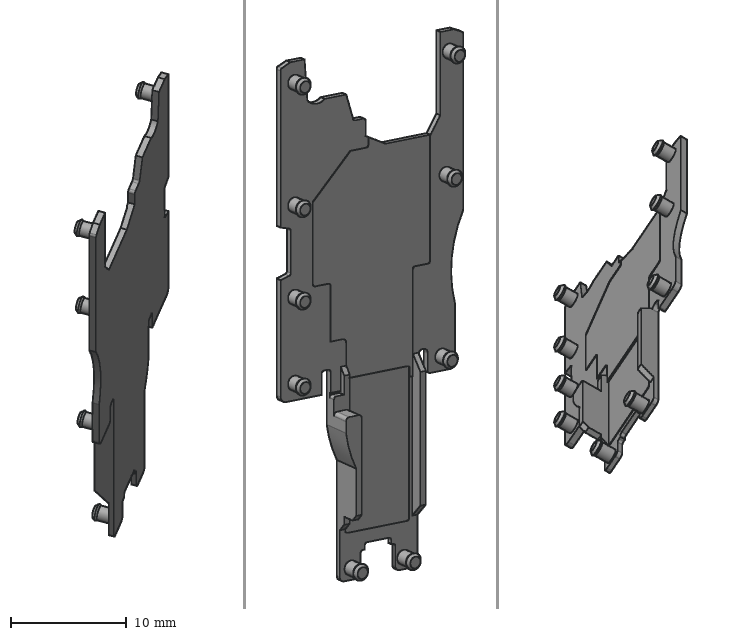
import cadquery as cq


WIDTH = 19.0
HEIGHT = 48.15
HORN_SHOULDER = 47.7
PLATE_DEPTH = 0.65
PANEL_DEPTH = 0.6
STEM_DEPTH = 0.5
PAD_DEPTH = 0.45
RIB_DEPTH = 1.8
SHELF_DEPTH = 1.15
BLOCK_DEPTH = 3.05
PEG_DEPTH = 2.3

STEM_LOW = 4.65
STEM_HIGH = 12.75
SHELF_HIGH = 13.8
RIB_WIDTH = 0.6
CHANNEL_LOW = STEM_LOW + RIB_WIDTH
CHANNEL_HIGH = STEM_HIGH - RIB_WIDTH
TAB_LOW = 0.85
PLATE_BOTTOM = 17.4
FLARE_TOP = 14.4
FLARE_BOTTOM = 11.0
FLARE_MIDDLE = (13.45, 12.65)
RIB_BOTTOM = 4.7
SHELF_TOP = 17.2

SLOT_LOW = 3.7
SLOT_LOW_TOP = 19.7
SLOT_HIGH = 14.75
SLOT_HIGH_TOP = 19.55

OPENING_LOW = 2.4
OPENING_FLOOR = 39.0
STEP_HIGH = 10.15
STEP_TOP = 41.7
STEP_INNER = 11.4
LEDGE_TOP = 44.2

NOTCH_FLOOR = 17.95
NOTCH_SLANT = 0.3
NOTCH_TOP = 33.3
NOTCH_BOTTOM = 28.55

FEET_LOW = 7.0
FEET_HIGH = 10.6
FEET_NOTCH_TOP = 3.15
FEET_SHOULDER = 2.5
FEET_STEP = 0.45

TAB_RADIUS = 0.6
FOOT_RADIUS = 0.45
PANEL_RADIUS = 0.4
BLOCK_RADIUS = 0.35
SMALL_RADIUS = 0.25

PEG_RADIUS = 0.67
PEG_HEAD_RADIUS = 0.75
PEG_TIP_RADIUS = 0.55
PEG_TAPER = 0.3
PEG_HEAD_LENGTH = 0.5
PEG_HIGH_Y = 17.57
FOOT_PEG_Z = 1.1
PEGS = [
    (PEG_HIGH_Y, 46.25),
    (PEG_HIGH_Y, 35.15),
    (PEG_HIGH_Y, 26.75),
    (PEG_HIGH_Y, 18.95),
    (1.5, 46.25),
    (1.85, 35.15),
    (2.25, 18.75),
    (6.1, FOOT_PEG_Z),
    (11.6, FOOT_PEG_Z),
]


def at_depth(depth):
    """Y-Z sketch plane lying the given depth in front of the back face."""
    return cq.Workplane("YZ", origin=(-depth, 0, 0))


def side_profile(points, low, high):
    """Extrude a (depth, Z) profile from Y = low to Y = high."""
    profile = [(-depth, z) for depth, z in points]
    return cq.Workplane("XZ", origin=(0, high, 0)).polyline(profile).close().extrude(high - low)


def round_corners(body, depth, radius, corners):
    """Round the X-direction edges that stand on the given (Y, Z) corners."""
    edges = []
    for y, z in corners:
        middle = cq.selectors.NearestToPointSelector((-depth / 2, y, z))
        edges += body.edges("|X").edges(middle).vals()
    return body.newObject(edges).fillet(radius)


def make_plate():
    """Flat plate with its whole outline."""
    plate = (
        at_depth(PLATE_DEPTH)
        .moveTo(OPENING_LOW, HEIGHT)
        .lineTo(1.0, HEIGHT)
        .lineTo(0, HORN_SHOULDER)
        .lineTo(0, 31.6)
        .threePointArc((1.2, 27.45), (TAB_LOW, 23.25))
        .lineTo(TAB_LOW, PLATE_BOTTOM)
        .lineTo(SLOT_LOW, PLATE_BOTTOM)
        .lineTo(SLOT_LOW, SLOT_LOW_TOP)
        .lineTo(STEM_LOW, SLOT_LOW_TOP)
        .lineTo(STEM_LOW, 0)
        .lineTo(FEET_LOW, 0)
        .lineTo(FEET_LOW, FEET_SHOULDER)
        .lineTo(FEET_LOW + FEET_STEP, FEET_SHOULDER)
        .lineTo(FEET_LOW + FEET_STEP, FEET_NOTCH_TOP)
        .lineTo(FEET_HIGH - FEET_STEP, FEET_NOTCH_TOP)
        .lineTo(FEET_HIGH - FEET_STEP, FEET_SHOULDER)
        .lineTo(FEET_HIGH, FEET_SHOULDER)
        .lineTo(FEET_HIGH, 0)
        .lineTo(STEM_HIGH, 0)
        .lineTo(STEM_HIGH, FLARE_BOTTOM)
        .threePointArc(FLARE_MIDDLE, (SHELF_HIGH, FLARE_TOP))
        .lineTo(SHELF_HIGH, SLOT_HIGH_TOP)
        .lineTo(SLOT_HIGH, SLOT_HIGH_TOP)
        .lineTo(SLOT_HIGH, PLATE_BOTTOM)
        .lineTo(WIDTH, PLATE_BOTTOM)
        .lineTo(WIDTH, NOTCH_BOTTOM)
        .lineTo(NOTCH_FLOOR, NOTCH_BOTTOM + NOTCH_SLANT)
        .lineTo(NOTCH_FLOOR, NOTCH_TOP - NOTCH_SLANT)
        .lineTo(WIDTH, NOTCH_TOP)
        .lineTo(WIDTH, HORN_SHOULDER)
        .lineTo(18.0, HEIGHT)
        .lineTo(16.5, HEIGHT)
        .lineTo(16.25, 44.4)
        .threePointArc((15.35, 43.9), (14.45, LEDGE_TOP))
        .lineTo(12.2, LEDGE_TOP)
        .lineTo(STEP_INNER, STEP_TOP)
        .lineTo(STEP_HIGH, STEP_TOP)
        .lineTo(STEP_HIGH, 40.05)
        .lineTo(8.1, OPENING_FLOOR)
        .lineTo(3.4, OPENING_FLOOR)
        .lineTo(OPENING_LOW, 40.6)
        .close()
        .extrude(PLATE_DEPTH)
    )
    foot_corners = [(y, 0) for y in (STEM_LOW, FEET_LOW, FEET_HIGH, STEM_HIGH)]
    low_slot_corners = [(SLOT_LOW, SLOT_LOW_TOP), (STEM_LOW, SLOT_LOW_TOP)]
    small_corners = [
        (SLOT_LOW, PLATE_BOTTOM),
        (SHELF_HIGH, SLOT_HIGH_TOP),
        (SLOT_HIGH, SLOT_HIGH_TOP),
        (NOTCH_FLOOR, NOTCH_BOTTOM + NOTCH_SLANT),
        (NOTCH_FLOOR, NOTCH_TOP - NOTCH_SLANT),
        (WIDTH, HORN_SHOULDER),
        (0, HORN_SHOULDER),
        (STEP_INNER, STEP_TOP),
        (STEP_HIGH, STEP_TOP),
        (FEET_LOW, FEET_SHOULDER),
        (FEET_HIGH, FEET_SHOULDER),
        (FEET_LOW + FEET_STEP, FEET_NOTCH_TOP),
        (FEET_HIGH - FEET_STEP, FEET_NOTCH_TOP),
    ]
    plate = round_corners(plate, PLATE_DEPTH, TAB_RADIUS, [(WIDTH, PLATE_BOTTOM), (TAB_LOW, PLATE_BOTTOM)])
    plate = round_corners(plate, PLATE_DEPTH, FOOT_RADIUS, foot_corners + low_slot_corners)
    return round_corners(plate, PLATE_DEPTH, SMALL_RADIUS, small_corners)


def cut_panel(plate):
    """Sink the shallow stepped panel that runs from the opening to the stem."""
    panel_low, panel_high = 3.45, 15.65
    middle_bottom = 22.05
    panel_step = 27.35
    diagonal_bottom, diagonal_end = 35.05, 11.75
    lip = 9.85
    cutter_top = 39.95
    panel = (
        at_depth(PLATE_DEPTH)
        .polyline([
            (panel_low, cutter_top),
            (panel_low, panel_step),
            (CHANNEL_LOW, panel_step),
            (CHANNEL_LOW, PLATE_BOTTOM),
            (CHANNEL_HIGH, PLATE_BOTTOM),
            (CHANNEL_HIGH, middle_bottom),
            (SHELF_HIGH, middle_bottom),
            (SHELF_HIGH, panel_step),
            (panel_high, panel_step),
            (panel_high, diagonal_bottom),
            (diagonal_end, OPENING_FLOOR),
            (lip, OPENING_FLOOR),
            (lip, cutter_top),
        ])
        .close()
        .extrude(PLATE_DEPTH - PANEL_DEPTH)
    )
    depth = PLATE_DEPTH + PANEL_DEPTH
    panel = round_corners(panel, depth, SMALL_RADIUS, [
        (panel_low, panel_step),
        (CHANNEL_LOW, panel_step),
        (SHELF_HIGH, panel_step),
        (panel_high, panel_step),
        (lip, OPENING_FLOOR),
    ])
    panel = round_corners(panel, depth, PANEL_RADIUS, [(CHANNEL_HIGH, middle_bottom)])
    return plate.cut(panel)


def thin_stem(plate):
    """Thin the stem below the wide plate and sink the pad recess into it."""
    stem = (
        at_depth(PLATE_DEPTH)
        .moveTo(STEM_LOW, 0)
        .rect(SHELF_HIGH - STEM_LOW, PLATE_BOTTOM, centered=False)
        .extrude(PLATE_DEPTH - STEM_DEPTH)
    )
    pad_low, pad_bottom, pad_top = 5.55, 4.35, 18.4
    pad = (
        at_depth(PLATE_DEPTH)
        .moveTo(pad_low, pad_bottom)
        .rect(CHANNEL_HIGH - pad_low, pad_top - pad_bottom, centered=False)
        .extrude(PLATE_DEPTH - PAD_DEPTH)
        .edges("|X")
        .fillet(SMALL_RADIUS)
    )
    return plate.cut(stem).cut(pad)


def make_low_rib():
    """Tall rib on the -Y side of the stem, sloping down at both ends."""
    top, shoulder_top, shoulder_bottom = 19.45, 18.1, 5.95
    return side_profile(
        [(0, top), (PLATE_DEPTH, top), (RIB_DEPTH, shoulder_top), (RIB_DEPTH, shoulder_bottom),
         (STEM_DEPTH, RIB_BOTTOM), (0, RIB_BOTTOM)],
        STEM_LOW, CHANNEL_LOW,
    )


def flared_outline(depth, bottom, top):
    """Extruded outline of the +Y side of the stem, following its flare."""
    return (
        at_depth(depth)
        .moveTo(CHANNEL_HIGH, bottom)
        .lineTo(STEM_HIGH, bottom)
        .lineTo(STEM_HIGH, FLARE_BOTTOM)
        .threePointArc(FLARE_MIDDLE, (SHELF_HIGH, FLARE_TOP))
        .lineTo(SHELF_HIGH, top)
        .lineTo(CHANNEL_HIGH, top)
        .close()
        .extrude(depth)
    )


def make_high_rib():
    """Low rib on the +Y side of the stem with its shelf and the block standing on it."""
    top = 19.6
    slope = SHELF_DEPTH - STEM_DEPTH
    rib = side_profile(
        [(0, top), (PLATE_DEPTH, top), (SHELF_DEPTH, top - slope), (SHELF_DEPTH, RIB_BOTTOM + slope),
         (STEM_DEPTH, RIB_BOTTOM), (0, RIB_BOTTOM)],
        CHANNEL_HIGH, STEM_HIGH,
    )
    block_bottom, block_top = 6.1, 15.8
    block_chamfer = 0.6
    shelf = flared_outline(SHELF_DEPTH, block_bottom, SHELF_TOP)
    shelf = round_corners(shelf, SHELF_DEPTH, SMALL_RADIUS, [(SHELF_HIGH, SHELF_TOP)])
    block = flared_outline(BLOCK_DEPTH, block_bottom, block_top)
    block_corners = [(CHANNEL_HIGH, block_top), (SHELF_HIGH, block_top)]
    block = round_corners(block, BLOCK_DEPTH, BLOCK_RADIUS, block_corners)
    block = block.faces("<Z").edges("<X").chamfer(block_chamfer)
    return rib.union(shelf).union(block)


def make_peg(y, z):
    """Round peg whose slightly wider head tapers to the tip."""
    taper_end = PEG_DEPTH - PEG_TAPER
    head_end = PEG_DEPTH - PEG_HEAD_LENGTH
    profile = [
        (0, 0), (0, PEG_RADIUS), (-head_end, PEG_RADIUS), (-taper_end, PEG_HEAD_RADIUS),
        (-PEG_DEPTH, PEG_TIP_RADIUS), (-PEG_DEPTH, 0),
    ]
    peg = cq.Workplane("XY").polyline(profile).close().revolve(360, (0, 0), (1, 0))
    return peg.translate((0, y, z))


result = thin_stem(cut_panel(make_plate()))
result = result.union(make_low_rib()).union(make_high_rib())
for peg_y, peg_z in PEGS:
    result = result.union(make_peg(peg_y, peg_z))